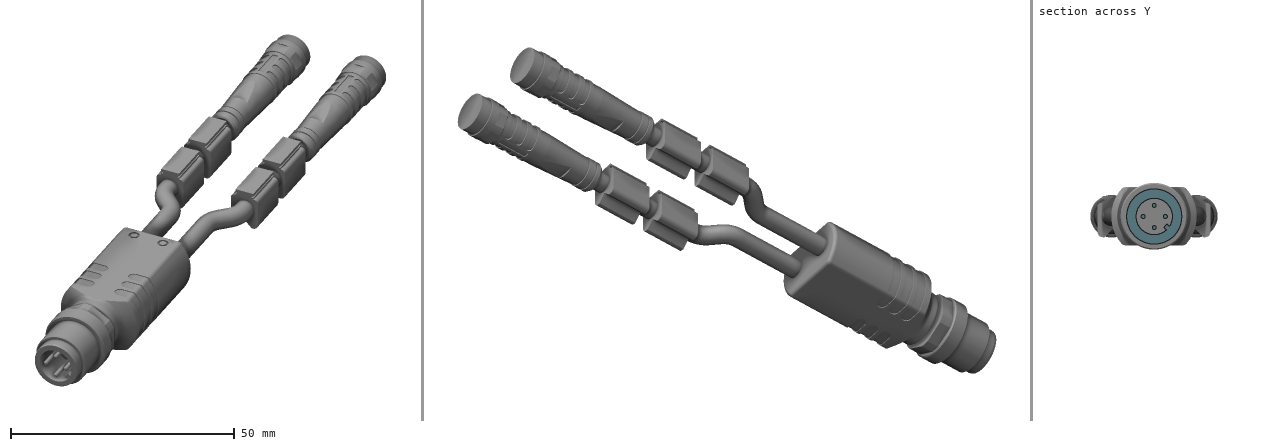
import cadquery as cq
import math


OVERALL_WIDTH = 28.5
HEX_SIDES = 6
CUT_MARGIN = 1.4

PIN_TIP_Y = 0.0
RIM_Y = 0.3
SPIGOT_END_Y = 2.8
RING_FRONT_Y = 9.8
RING_REAR_Y = 13.6
NUT_REAR_Y = 16.5
COLLAR_FRONT_Y = 17.3
NOSE_Y = 20.0
SHOULDER_Y = 22.0
BODY_REAR_Y = 49.6

SPIGOT_DIAMETER = 10.8
THREAD_DIAMETER = 12.5
THREAD_CHAMFER = 0.21
RING_DIAMETER = 15.0
RING_CHAMFER = 0.3
PLUG_NUT_DIAMETER = 14.0
PLUG_NUT_FLATS = 13.0
PLUG_NUT_TURN = 30
NECK_DIAMETER = 8.9
PLUG_BORE_DIAMETER = 8.0
PLUG_BORE_DEPTH = 8.3
RIM_CHAMFER_LENGTH = 0.5
RIM_CHAMFER_WIDTH = 0.1
PIN_DIAMETER = 1.0
PIN_CIRCLE_RADIUS = 2.5
PIN_COUNT = 4
PIN_TIP_CHAMFER = 0.25
PIN_BOSS_DIAMETER = 2.5
PIN_BOSS_HEIGHT = 0.5
KEY_WIDTH = 1.1
KEY_HEIGHT = 0.8
KEY_ANGLE = -40

BODY_WIDTH = 19.1
BODY_HEIGHT = 13.0
BODY_TOP_WIDTH = 13.9
BODY_CORNER_FILLET = 1.1
BODY_REAR_FILLET = 0.8
COLLAR_DIAMETER = 12.9
COLLAR_FILLET = 0.7
NOSE_FILLET = 1.1
LED_DIAMETER = 2.5
LED_LENS_DIAMETER = 1.5
LED_DEPTH = 0.4
LED_X = 3.6
LED_Y = 47.0
GRIP_WIDTH = 2.5
GRIP_DEPTH = 0.21
GRIP_PITCH = 3.5
GRIP_COUNT = 3
GRIP_FIRST_Y = 24.8
GRIP_INNER_X = 2.6

CABLE_DIAMETER = 4.5
CABLE_BODY_X = 4.6
CABLE_BEND_Y = 66.2
CABLE_BEND_ANGLE = 45
CABLE_DIAGONAL = 2.8

CLIP_X = 9.3
CLIP_LENGTH = 10.3
CLIP_Y = (76.5, 90.2)
CLIP_WIDTH = 6.8
CLIP_BOTTOM_Z = -4.7
CLIP_SHOULDER_Z = 3.0
CLIP_SHOULDER_FILLET = 1.0
CLIP_FOOT_FILLET = 1.2
CLIP_MOUTH_WIDTH = 3.6
CLIP_MOUTH_TOP_Z = -2.9
PLATE_WIDTH = 4.5
PLATE_TOP_Z = 4.6
LABEL_GROOVE_DEPTH = 0.4
LABEL_GROOVE_BOTTOM_Z = 3.5
LABEL_GROOVE_TOP_Z = 3.9

SOCKET_END_Y = 138.5
SOCKET_MOUTH_DIAMETER = 8.9
SOCKET_NUT_DIAMETER = 9.5
SOCKET_X = (OVERALL_WIDTH - SOCKET_NUT_DIAMETER) / 2
SOCKET_NUT_FLATS = 9.0
SOCKET_NUT_REAR_Y = 131.0
SOCKET_FLATS_END_Y = 133.8
SOCKET_NUT_FRONT_Y = 135.8
NUT_REAR_CHAMFER = 0.4
SLEEVE_DIAMETER = 8.5
SLEEVE_REAR_Y = 121.5
BARREL_DIAMETER = 8.0
TAPER_START_Y = 118.7
TAPER_END_Y = 107.5
TAPER_END_DIAMETER = 6.9
RIB_DIAMETER = 7.2
RIB_GROOVE_DIAMETER = 6.5
RIB_GROOVE_WIDTH = 0.4
RIB_WIDTH = 1.7
END_RIB_WIDTH = 1.0
SOCKET_TAIL_DIAMETER = 6.0
SOCKET_TAIL_Y = 103.2
SLEEVE_RECESS_DEPTH = 0.3
SLEEVE_SLOT_WIDTH = 1.7
SLEEVE_SLOT_INNER_X = 1.2
SLEEVE_SLOT_FIRST_Y = 123.2
SLEEVE_SLOT_LAST_Y = 129.1
SLEEVE_SLOT_COUNT = 3
SLEEVE_SLOT_PITCH = (SLEEVE_SLOT_LAST_Y - SLEEVE_SLOT_FIRST_Y) / (SLEEVE_SLOT_COUNT - 1)
SLEEVE_BAR_WIDTH = 1.4
SLEEVE_BAR_FRONT_Y = 130.0
SLEEVE_BAR_REAR_Y = 122.5
FLAT_STEP_Y = 111.4
FLAT_STEP_DEPTH = 0.7


def front_plane(y):
    """Plane across the part at y; its extrusions run toward +Y and local x, y are X, Z."""
    return cq.Workplane(cq.Plane(origin=(0, y, 0), xDir=(1, 0, 0), normal=(0, -1, 0)))


def rod(diameter, y_start, y_end, x=0.0, z=0.0):
    """Round bar along Y."""
    return front_plane(y_start).center(x, z).circle(diameter / 2).extrude(y_start - y_end)


def truncated_hex(flats, diameter, y_start, y_end, turn):
    """Hexagonal bar along Y whose corners are trimmed by a cylinder."""
    corner_diameter = flats / math.cos(math.pi / HEX_SIDES)
    bar = front_plane(y_start).polygon(HEX_SIDES, corner_diameter).extrude(y_start - y_end)
    bar = bar.rotate((0, 0, 0), (0, 1, 0), turn)
    return bar.intersect(rod(diameter, y_start, y_end))


def revolved(points):
    """Solid of revolution about Y from (radius, y) points."""
    outline = [(0, points[0][1])] + points + [(0, points[-1][1])]
    return cq.Workplane("XY").polyline(outline).close().revolve(360, (0, 0, 0), (0, 1, 0))


def both_sides(shape):
    """Shape together with its mirror image across X = 0."""
    return shape.union(shape.mirror("YZ"))



def make_plug():
    floor_y = RIM_Y + PLUG_BORE_DEPTH
    plug = revolved([
        (SPIGOT_DIAMETER / 2 - RIM_CHAMFER_WIDTH, RIM_Y),
        (SPIGOT_DIAMETER / 2, RIM_Y + RIM_CHAMFER_LENGTH),
        (SPIGOT_DIAMETER / 2, SPIGOT_END_Y),
        (THREAD_DIAMETER / 2 - THREAD_CHAMFER, SPIGOT_END_Y),
        (THREAD_DIAMETER / 2, SPIGOT_END_Y + THREAD_CHAMFER),
        (THREAD_DIAMETER / 2, RING_FRONT_Y),
        (RING_DIAMETER / 2 - RING_CHAMFER, RING_FRONT_Y),
        (RING_DIAMETER / 2, RING_FRONT_Y + RING_CHAMFER),
        (RING_DIAMETER / 2, RING_REAR_Y - RING_CHAMFER),
        (RING_DIAMETER / 2 - RING_CHAMFER, RING_REAR_Y),
        (NECK_DIAMETER / 2, RING_REAR_Y),
        (NECK_DIAMETER / 2, NOSE_Y),
    ])
    plug_nut = truncated_hex(
        PLUG_NUT_FLATS, PLUG_NUT_DIAMETER, RING_REAR_Y, NUT_REAR_Y, turn=PLUG_NUT_TURN
    )
    plug = plug.union(plug_nut)
    plug = plug.cut(rod(PLUG_BORE_DIAMETER, RIM_Y, floor_y))

    key_inner = PLUG_BORE_DIAMETER / 2 - KEY_HEIGHT
    key = (
        front_plane(RIM_Y + RIM_CHAMFER_LENGTH)
        .center(key_inner + KEY_HEIGHT, 0)
        .rect(2 * KEY_HEIGHT, KEY_WIDTH)
        .extrude(RIM_Y + RIM_CHAMFER_LENGTH - floor_y)
        .rotate((0, 0, 0), (0, 1, 0), -KEY_ANGLE)
    )
    plug = plug.union(key)

    for index in range(PIN_COUNT):
        angle = 2 * math.pi * index / PIN_COUNT
        pin_x = PIN_CIRCLE_RADIUS * math.cos(angle)
        pin_z = PIN_CIRCLE_RADIUS * math.sin(angle)
        pin = rod(PIN_DIAMETER, PIN_TIP_Y, floor_y, pin_x, pin_z)
        boss = rod(PIN_BOSS_DIAMETER, floor_y - PIN_BOSS_HEIGHT, floor_y, pin_x, pin_z)
        plug = plug.union(boss).union(pin.faces("<Y").chamfer(PIN_TIP_CHAMFER))
    return plug



def body_block(inset, y_start, y_end):
    """Bar with flat top and bottom and bulging sides, shrunk by inset all round."""
    half_width = BODY_WIDTH / 2 - inset
    half_top = BODY_TOP_WIDTH / 2 - inset
    half_height = BODY_HEIGHT / 2 - inset
    return (
        front_plane(y_start)
        .moveTo(-half_top, half_height)
        .lineTo(half_top, half_height)
        .threePointArc((half_width, 0), (half_top, -half_height))
        .lineTo(-half_top, -half_height)
        .threePointArc((-half_width, 0), (-half_top, half_height))
        .close()
        .extrude(y_start - y_end)
        .edges("|Y")
        .fillet(BODY_CORNER_FILLET)
    )


def make_grip_recesses():
    """Round-ended bands wrapped over both sides of the body."""
    slots = cq.Workplane("XY")
    length = BODY_WIDTH
    for index in range(GRIP_COUNT):
        slot = (
            cq.Workplane("XY")
            .center(GRIP_INNER_X + length / 2, GRIP_FIRST_Y + index * GRIP_PITCH)
            .slot2D(length, GRIP_WIDTH)
            .extrude(BODY_HEIGHT, both=True)
        )
        slots = slots.union(both_sides(slot))
    return slots.cut(body_block(GRIP_DEPTH, NOSE_Y, BODY_REAR_Y))


def make_nose_envelope():
    """Round collar that flares into a cone wide enough to clear the body corners."""
    collar_radius = COLLAR_DIAMETER / 2
    flare_slope = (SHOULDER_Y - NOSE_Y) / (BODY_WIDTH / 2 - collar_radius)
    wide_radius = BODY_WIDTH
    wide_y = NOSE_Y + flare_slope * (wide_radius - collar_radius)
    envelope = revolved([
        (collar_radius, COLLAR_FRONT_Y),
        (collar_radius, NOSE_Y),
        (wide_radius, wide_y),
        (wide_radius, BODY_REAR_Y),
    ])
    nose_edge = cq.selectors.NearestToPointSelector((0, NOSE_Y, 0))
    envelope = envelope.edges(nose_edge).fillet(NOSE_FILLET)
    return envelope.faces("<Y").edges().fillet(COLLAR_FILLET)


def make_body():
    block = body_block(0, COLLAR_FRONT_Y, BODY_REAR_Y)
    block = block.faces(">Y").edges().fillet(BODY_REAR_FILLET)
    body = block.intersect(make_nose_envelope()).cut(make_grip_recesses())

    led_floor = BODY_HEIGHT / 2 - LED_DEPTH
    led_ring = (
        cq.Workplane("XY", origin=(LED_X, LED_Y, led_floor))
        .circle(LED_DIAMETER / 2)
        .circle(LED_LENS_DIAMETER / 2)
        .extrude(LED_DEPTH + CUT_MARGIN)
    )
    return body.cut(both_sides(led_ring))



def make_cable():
    """Cable leaving the body straight, stepping outward in an S bend, then straight again."""
    angle = math.radians(CABLE_BEND_ANGLE)
    diagonal_x = CABLE_DIAGONAL * math.sin(angle)
    diagonal_y = CABLE_DIAGONAL * math.cos(angle)
    bend_radius = (SOCKET_X - CABLE_BODY_X - diagonal_x) / (2 * (1 - math.cos(angle)))
    bend_x = bend_radius * (1 - math.cos(angle))
    bend_y = bend_radius * math.sin(angle)
    mid_x = bend_radius * (1 - math.cos(angle / 2))
    mid_y = bend_radius * math.sin(angle / 2)

    start_y = BODY_REAR_Y - CUT_MARGIN
    diagonal_end = (CABLE_BODY_X + bend_x + diagonal_x, CABLE_BEND_Y + bend_y + diagonal_y)
    bend_end_y = diagonal_end[1] + bend_y
    path = (
        cq.Workplane("XY")
        .moveTo(CABLE_BODY_X, start_y)
        .lineTo(CABLE_BODY_X, CABLE_BEND_Y)
        .threePointArc(
            (CABLE_BODY_X + mid_x, CABLE_BEND_Y + mid_y),
            (CABLE_BODY_X + bend_x, CABLE_BEND_Y + bend_y),
        )
        .lineTo(*diagonal_end)
        .threePointArc((SOCKET_X - mid_x, bend_end_y - mid_y), (SOCKET_X, bend_end_y))
        .lineTo(SOCKET_X, SOCKET_TAIL_Y + CUT_MARGIN)
    )
    return front_plane(start_y).center(CABLE_BODY_X, 0).circle(CABLE_DIAMETER / 2).sweep(path)


def make_clip(y_start):
    """Snap-on marker holder: a V notch below and a grooved label plate on top."""
    y_end = y_start + CLIP_LENGTH

    def bar(width, z_low, z_high):
        return (
            front_plane(y_start)
            .center(0, (z_low + z_high) / 2)
            .rect(width, z_high - z_low)
            .extrude(y_start - y_end)
        )

    clip = bar(CLIP_WIDTH, CLIP_BOTTOM_Z, CLIP_SHOULDER_Z)
    clip = clip.edges("|Y and >Z").fillet(CLIP_SHOULDER_FILLET)
    clip = clip.edges("|Y and <Z").fillet(CLIP_FOOT_FILLET)
    mouth = (
        front_plane(y_start)
        .moveTo(-CLIP_MOUTH_WIDTH / 2, CLIP_BOTTOM_Z)
        .lineTo(CLIP_MOUTH_WIDTH / 2, CLIP_BOTTOM_Z)
        .lineTo(0, CLIP_MOUTH_TOP_Z)
        .close()
        .extrude(y_start - y_end)
    )
    neck_width = PLATE_WIDTH - 2 * LABEL_GROOVE_DEPTH
    clip = clip.cut(mouth)
    clip = clip.union(bar(PLATE_WIDTH, CLIP_SHOULDER_Z, LABEL_GROOVE_BOTTOM_Z))
    clip = clip.union(bar(neck_width, LABEL_GROOVE_BOTTOM_Z, LABEL_GROOVE_TOP_Z))
    return clip.union(bar(PLATE_WIDTH, LABEL_GROOVE_TOP_Z, PLATE_TOP_Z))


def make_sleeve_recesses():
    """Shallow grip pattern: side slots and a lengthwise bar on the top and the bottom."""
    slot_length = SLEEVE_DIAMETER
    pattern = cq.Workplane("XY")
    for index in range(SLEEVE_SLOT_COUNT):
        slot = (
            cq.Workplane("XY")
            .center(
                SLEEVE_SLOT_INNER_X + slot_length / 2,
                SLEEVE_SLOT_FIRST_Y + index * SLEEVE_SLOT_PITCH,
            )
            .slot2D(slot_length, SLEEVE_SLOT_WIDTH)
            .extrude(SLEEVE_DIAMETER, both=True)
        )
        pattern = pattern.union(both_sides(slot))
    bar = (
        cq.Workplane("XY")
        .center(0, (SLEEVE_BAR_FRONT_Y + SLEEVE_BAR_REAR_Y) / 2)
        .rect(SLEEVE_BAR_WIDTH, SLEEVE_BAR_FRONT_Y - SLEEVE_BAR_REAR_Y)
        .extrude(SLEEVE_DIAMETER, both=True)
    )
    core_diameter = SLEEVE_DIAMETER - 2 * SLEEVE_RECESS_DEPTH
    return pattern.union(bar).cut(rod(core_diameter, SLEEVE_REAR_Y, SOCKET_NUT_REAR_Y))


def make_taper_flat():
    """Wedge above the tapered tail; it deepens toward the cable and stops at a step."""
    taper_slope = (BARREL_DIAMETER - TAPER_END_DIAMETER) / 2 / (TAPER_START_Y - TAPER_END_Y)
    step_surface = BARREL_DIAMETER / 2 - taper_slope * (TAPER_START_Y - FLAT_STEP_Y)
    top = BARREL_DIAMETER / 2
    return (
        cq.Workplane("YZ")
        .moveTo(TAPER_START_Y, top)
        .lineTo(FLAT_STEP_Y, step_surface - FLAT_STEP_DEPTH)
        .lineTo(FLAT_STEP_Y, top)
        .close()
        .extrude(BARREL_DIAMETER, both=True)
    )


def make_socket():
    rib_front_y = TAPER_END_Y - RIB_GROOVE_WIDTH
    end_rib_front_y = rib_front_y - RIB_WIDTH - RIB_GROOVE_WIDTH
    socket = revolved([
        (SOCKET_TAIL_DIAMETER / 2, SOCKET_TAIL_Y),
        (RIB_DIAMETER / 2, end_rib_front_y - END_RIB_WIDTH),
        (RIB_DIAMETER / 2, end_rib_front_y),
        (RIB_GROOVE_DIAMETER / 2, end_rib_front_y),
        (RIB_GROOVE_DIAMETER / 2, rib_front_y - RIB_WIDTH),
        (RIB_DIAMETER / 2, rib_front_y - RIB_WIDTH),
        (RIB_DIAMETER / 2, rib_front_y),
        (RIB_GROOVE_DIAMETER / 2, rib_front_y),
        (RIB_GROOVE_DIAMETER / 2, TAPER_END_Y),
        (TAPER_END_DIAMETER / 2, TAPER_END_Y),
        (BARREL_DIAMETER / 2, TAPER_START_Y),
        (BARREL_DIAMETER / 2, SLEEVE_REAR_Y),
        (SLEEVE_DIAMETER / 2, SLEEVE_REAR_Y),
        (SLEEVE_DIAMETER / 2, SOCKET_NUT_REAR_Y),
        (SOCKET_MOUTH_DIAMETER / 2, SOCKET_NUT_REAR_Y),
        (SOCKET_MOUTH_DIAMETER / 2, SOCKET_END_Y),
    ])
    hex_part = truncated_hex(
        SOCKET_NUT_FLATS, SOCKET_NUT_DIAMETER, SOCKET_NUT_REAR_Y, SOCKET_FLATS_END_Y, turn=0
    )
    hex_part = hex_part.faces("<Y").chamfer(NUT_REAR_CHAMFER)
    round_part = rod(SOCKET_NUT_DIAMETER, SOCKET_FLATS_END_Y, SOCKET_NUT_FRONT_Y)
    socket = socket.cut(make_sleeve_recesses()).union(hex_part).union(round_part)

    flat = make_taper_flat()
    return socket.cut(flat).cut(flat.mirror("XY"))


def make_branch():
    branch = make_socket().translate((SOCKET_X, 0, 0)).union(make_cable())
    for clip_y in CLIP_Y:
        branch = branch.union(make_clip(clip_y).translate((CLIP_X, 0, 0)))
    return branch



result = make_body().union(make_plug()).union(both_sides(make_branch()))